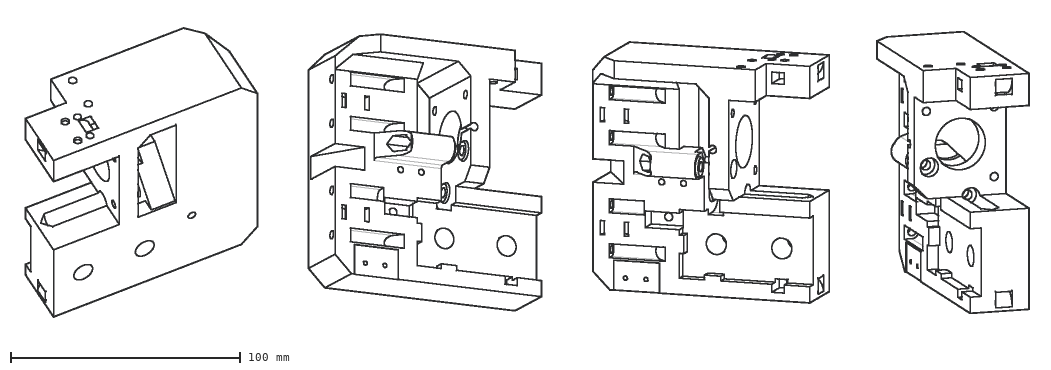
import cadquery as cq
import math

WIDTH = 42.0
LENGTH = 99.5
HEIGHT = 105.0

BODY_X = 15.0
BODY_TOP = 45.0
BACK_CHAMFER = 7.9
CORNER_CUT = 14.8

ROOF_THICKNESS = 8.0
ARM_BOTTOM = 90.7
ARM_NOTCH_LENGTH = 20.0
PLATE_FRONT = 32.1
PLATE_BACK = 41.3
SMALL_CHAMFER = 6.0
WINDOW_BACK = 59.8
GAP_BACK = 48.3
ROOF_BOTTOM = HEIGHT - ROOF_THICKNESS

MOTOR_Z = 68.5
MOTOR_BORE = 22.9
MOTOR_HOLE_PITCH = 31.1
COUPLING_BORE = 20.6
COUPLING_DEPTH = 3.2
SCREW_DIA = 3.6
MOTOR_X = WIDTH / 2

IDLER_HIGH = (6.8, 59.0)
IDLER_LOW = (25.8, 44.5)
IDLER_DIA = 4.3
IDLER_HEAD_DIA = 8.2
IDLER_HEAD_DEPTH = 5.0
IDLER_DEPTH = 31.5
BOSS_TIP_RADIUS = 4.0
BOSS_BASE_RADIUS = 4.5
BOSS_HEIGHT = 1.0
IDLER_NUT_FLATS = 7.0
IDLER_NUT_START = 63.0
CHANNEL_TIP_Y = 1.7
PULLEY_RADIUS = 9.2

RECESS_DEPTH = 4.9
RECESS_BOTTOM = 7.2
RECESS_TOP = 37.7
BACK_TAB = (57.8, WINDOW_BACK, 18.3, 26.4)
BOTTOM_TAB = (40.8, GAP_BACK, RECESS_BOTTOM, 9.3)
SIDE_HOLE_DIA = 9.1
SIDE_HOLE_Z = 22.4
SIDE_HOLE_YS = (14.5, 44.5)

NUT_POCKET = (59.7, 75.5, 28.8, 36.1)
NUT_POCKET_DEPTH = 8.4
NUT_POCKET_HOLE = (67.5, 32.4)

ROD_DIA = 6.2
ROD_DEPTH = 6.5
ROD_FRONT = 66.3
ROD_FRONT_SHORT = 76.0
ROD_BACK = 92.0
TIE_CENTER_ZS = (27.4, 77.6)
ROD_OFFSET = 10.0

TUBE_TOP = max(TIE_CENTER_ZS) - ROD_OFFSET - ROD_DIA / 2
TUBE_RADIUS = TUBE_TOP - IDLER_HIGH[1]
TUBE_BACK = 68.7
TUBE_RAMP_END = 80.7
TUBE_FILLET = 1.3
BLOCK_SLOPE_X = 21.4

TIE_CENTER_Y = 89.7
TIE_HEIGHT = 6.2
TIE_INNER_RADIUS = 4.5
TIE_OUTER_RADIUS = 6.5

NOTCH_FRONT = 85.3
NOTCH_BOTTOM = 47.4
NOTCH_TOP = 57.6
NOTCH_ANGLE = 60.0

SEAT = (69.0, 90.0, 0.0, 13.3)
SEAT_DEPTH = 0.4
SEAT_HOLE_DIA = 1.8
SEAT_HOLE_Z = 5.7
SEAT_HOLE_YS = (75.3, 84.7)
SEAT_HOLE_DEPTH = 8.4

BLOCK_HOLE_DIA = 2.6
BLOCK_HOLE_Z = 49.5
BLOCK_HOLE_YS = (58.0, 67.9)
BLOCK_HOLE_DEPTH = 8.4

STRAP_X = (26.7, 34.2)
STRAP_TOP_START_Y = 20.0
STRAP_TOP_END_Y = 25.7
STRAP_TOP_CENTER_Y = 19.4
STRAP_TOP_RADIUS = 5.9
STRAP_FRONT_Z = (1.7, 8.6)
STRAP_FRONT_RADIUS = 8.6
STRAP_FRONT_CENTER_Z = 0.8
TRAP_Y = 14.6
TRAP_FLATS = 5.8
TRAP_HEIGHT = 5.0
TRAP_BOTTOM = 3.7
TRAP_TIP_X = 27.3
ROOF_THROUGH_HOLES = ((4.9, 28.1), (20.0, 28.1))
SENSOR_XS = (24.5, 36.5)
SENSOR_FLAT_Y = 20.6
SENSOR_FLAT_DIA = 3.3
SENSOR_FLAT_DEPTH = 8.4
SENSOR_CONE_Y = TRAP_Y
SENSOR_CONE_DEPTH = 1.6
SET_SCREW_Y = 39.7


def box(x0, x1, y0, y1, z0, z1):
    return cq.Workplane("XY").box(x1 - x0, y1 - y0, z1 - z0, centered=False).translate((x0, y0, z0))


def rod_x(y, z, dia, x0, x1):
    return cq.Workplane("YZ", origin=(x0, y, z)).circle(dia / 2).extrude(x1 - x0)


def rod_y(x, z, dia, y0, y1):
    return cq.Workplane("XZ", origin=(x, y0, z)).circle(dia / 2).extrude(y0 - y1)


def rod_z(x, y, dia, z0, z1):
    return cq.Workplane("XY", origin=(x, y, z0)).circle(dia / 2).extrude(z1 - z0)


def prism_x(points, x0, x1):
    """Extrude a (y, z) outline along X."""
    return cq.Workplane("YZ", origin=(x0, 0, 0)).polyline(points).close().extrude(x1 - x0)


def prism_y(points, y0, y1):
    """Extrude an (x, z) outline along Y."""
    return cq.Workplane("XZ", origin=(0, y0, 0)).polyline(points).close().extrude(y0 - y1)


def prism_z(points, z0, z1):
    """Extrude an (x, y) outline along Z."""
    return cq.Workplane("XY", origin=(0, 0, z0)).polyline(points).close().extrude(z1 - z0)


def mirror_height(solid):
    """Copy a shape upside down about mid height."""
    return solid.mirror("XY", (0, 0, HEIGHT / 2))


def make_frame():
    """Lower block, back wall, roof and motor plate."""
    lower = box(BODY_X, WIDTH, 0, LENGTH, 0, BODY_TOP)
    wall = box(BODY_X, WIDTH, WINDOW_BACK, LENGTH, 0, HEIGHT)
    roof = box(0, WIDTH, PLATE_FRONT, LENGTH, ROOF_BOTTOM, HEIGHT)
    arm = box(0, WIDTH, 0, PLATE_BACK, ARM_BOTTOM, HEIGHT)
    arm_notch = box(0, BODY_X, 0, ARM_NOTCH_LENGTH, ARM_BOTTOM, HEIGHT)
    plate = prism_y(
        [
            (SMALL_CHAMFER, BODY_TOP),
            (WIDTH, BODY_TOP),
            (WIDTH, HEIGHT),
            (0, HEIGHT),
            (0, BODY_TOP + SMALL_CHAMFER),
        ],
        PLATE_FRONT,
        PLATE_BACK,
    )
    plate_brace = prism_x(
        [
            (PLATE_BACK, ROOF_BOTTOM),
            (PLATE_BACK + SMALL_CHAMFER, ROOF_BOTTOM),
            (PLATE_BACK, ROOF_BOTTOM - SMALL_CHAMFER),
        ],
        0,
        WIDTH,
    )
    roof_wedge = prism_y(
        [
            (BODY_X - SMALL_CHAMFER, ROOF_BOTTOM),
            (BODY_X, ROOF_BOTTOM),
            (BODY_X, ROOF_BOTTOM - SMALL_CHAMFER),
        ],
        WINDOW_BACK,
        LENGTH,
    )
    frame = lower.union(wall).union(roof).union(arm.cut(arm_notch)).union(plate)
    return frame.union(plate_brace).union(roof_wedge)


def make_sloped_block():
    """Block behind the gap, level on top and sloping down towards +X."""
    slope_run = TUBE_TOP - BODY_TOP
    return prism_y(
        [
            (BODY_X, 0),
            (BODY_X, TUBE_TOP),
            (BLOCK_SLOPE_X, TUBE_TOP),
            (BLOCK_SLOPE_X + slope_run, BODY_TOP),
            (BLOCK_SLOPE_X + slope_run, 0),
        ],
        GAP_BACK,
        LENGTH - BACK_CHAMFER,
    )


def make_tube():
    """Tube for the high idler screw, ramped into the side of the block."""
    x, z = IDLER_HIGH
    tube = rod_y(x, z, 2 * TUBE_RADIUS, GAP_BACK, TUBE_RAMP_END)
    bottom = z - TUBE_RADIUS
    link = box(x, BODY_X, GAP_BACK, TUBE_RAMP_END, bottom, TUBE_TOP)
    fillet_x = BODY_X - TUBE_FILLET
    fillet_z = bottom - TUBE_FILLET
    fillet = box(fillet_x, BODY_X, GAP_BACK, TUBE_RAMP_END, fillet_z, bottom)
    fillet = fillet.cut(rod_y(fillet_x, fillet_z, 2 * TUBE_FILLET, GAP_BACK, TUBE_RAMP_END))
    ramp_limit = prism_z(
        [
            (0, GAP_BACK),
            (BODY_X, GAP_BACK),
            (BODY_X, TUBE_RAMP_END),
            (BODY_X - TUBE_RAMP_END + TUBE_BACK, TUBE_BACK),
            (0, TUBE_BACK),
        ],
        0,
        HEIGHT,
    )
    return tube.union(link).union(fillet).intersect(ramp_limit)


def make_boss(center, y, direction):
    """Tapered ring facing into the pulley gap."""
    x, z = center
    boss = cq.Solid.makeCone(
        BOSS_BASE_RADIUS, BOSS_TIP_RADIUS, BOSS_HEIGHT, cq.Vector(x, y, z), cq.Vector(0, direction, 0)
    )
    return cq.Workplane(boss)


def make_outer_chamfers():
    """Material removed from the back edges and the roof corner."""
    top_edge = prism_x(
        [(LENGTH - BACK_CHAMFER, HEIGHT), (LENGTH, HEIGHT), (LENGTH, HEIGHT - BACK_CHAMFER)], 0, WIDTH
    )
    bottom_edge = prism_x([(LENGTH - BACK_CHAMFER, 0), (LENGTH, 0), (LENGTH, BACK_CHAMFER)], 0, WIDTH)
    corner = prism_z([(0, LENGTH - CORNER_CUT), (0, LENGTH), (CORNER_CUT, LENGTH)], 0, HEIGHT)
    return [top_edge, bottom_edge, corner]


def make_motor_cuts():
    cuts = [
        rod_y(MOTOR_X, MOTOR_Z, MOTOR_BORE, PLATE_FRONT, PLATE_BACK),
        rod_y(MOTOR_X, MOTOR_Z, COUPLING_BORE, PLATE_BACK, GAP_BACK + COUPLING_DEPTH),
        rod_x(SET_SCREW_Y, MOTOR_Z, SCREW_DIA, 0, MOTOR_X),
    ]
    half = MOTOR_HOLE_PITCH / 2
    for dx, dz in ((-half, half), (half, half), (half, -half)):
        cuts.append(rod_y(MOTOR_X + dx, MOTOR_Z + dz, SCREW_DIA, PLATE_FRONT, PLATE_BACK))
    return cuts


def make_pulley_gap():
    """Round-bottomed clearance for the low pulley, open towards -X."""
    x, z = IDLER_LOW
    trough = rod_y(x, z, 2 * PULLEY_RADIUS, PLATE_BACK, GAP_BACK)
    opening = box(BODY_X, x, PLATE_BACK, GAP_BACK, z - PULLEY_RADIUS, BODY_TOP)
    return trough.union(opening).intersect(box(0, WIDTH, 0, LENGTH, 0, BODY_TOP))


def make_idler_cuts():
    cuts = []
    for x, z in (IDLER_HIGH, IDLER_LOW):
        cuts.append(rod_y(x, z, IDLER_DIA, PLATE_FRONT, PLATE_FRONT + IDLER_DEPTH))
        cuts.append(rod_y(x, z, IDLER_HEAD_DIA, PLATE_FRONT, PLATE_FRONT + IDLER_HEAD_DEPTH))

    x, z = IDLER_HIGH
    corner_dia = IDLER_NUT_FLATS / math.cos(math.pi / 6)
    nut_seat = cq.Workplane("XZ", origin=(x, IDLER_NUT_START, z)).polygon(6, corner_dia)
    cuts.append(nut_seat.extrude(IDLER_NUT_START - TUBE_RAMP_END))

    x, z = IDLER_LOW
    head_radius = IDLER_HEAD_DIA / 2
    cuts.append(rod_y(x, z, IDLER_HEAD_DIA, CHANNEL_TIP_Y + head_radius, PLATE_FRONT))
    cone = cq.Solid.makeCone(
        0, head_radius, head_radius, cq.Vector(x, CHANNEL_TIP_Y, z), cq.Vector(0, 1, 0)
    )
    cuts.append(cq.Workplane(cone))
    return cuts


def make_recess():
    """Stepped recess in the side of the lower block."""
    floor_x = BODY_X + RECESS_DEPTH
    recess = box(BODY_X, floor_x, 0, WINDOW_BACK, RECESS_BOTTOM, RECESS_TOP)
    back_tab = box(BODY_X, floor_x, *BACK_TAB)
    bottom_tab = box(BODY_X, floor_x, *BOTTOM_TAB)
    return recess.cut(back_tab).cut(bottom_tab)


def make_rod_groove(z, front, ramped):
    """Round-bottomed groove along Y with a screw hole out of the back."""
    radius = ROD_DIA / 2
    bottom_x = BODY_X + ROD_DEPTH
    axis_x = bottom_x - radius
    groove = rod_y(axis_x, z, ROD_DIA, front, ROD_BACK)
    groove = groove.union(box(BODY_X, axis_x, front, ROD_BACK, z - radius, z + radius))
    if ramped:
        ramp = prism_z([(BODY_X, front), (bottom_x, front), (bottom_x, front + ROD_DEPTH)], 0, HEIGHT)
        groove = groove.cut(ramp)
    return groove.union(rod_y(axis_x, z, SCREW_DIA, ROD_BACK, LENGTH))


def make_rod_cuts():
    cuts = []
    for tie_z in TIE_CENTER_ZS:
        channel = cq.Workplane("XY", origin=(BODY_X, TIE_CENTER_Y, tie_z - TIE_HEIGHT / 2))
        channel = channel.circle(TIE_OUTER_RADIUS).circle(TIE_INNER_RADIUS).extrude(TIE_HEIGHT)
        cuts.append(channel)
    low_tie, high_tie = TIE_CENTER_ZS
    for z in (low_tie - ROD_OFFSET, high_tie - ROD_OFFSET, high_tie + ROD_OFFSET):
        cuts.append(make_rod_groove(z, ROD_FRONT, True))
    cuts.append(make_rod_groove(low_tie + ROD_OFFSET, ROD_FRONT_SHORT, False))
    return cuts


def make_side_cuts():
    """Holes and pockets that open on the -X face of the block."""
    cuts = [
        box(BODY_X, BODY_X + NUT_POCKET_DEPTH, *NUT_POCKET),
        rod_x(*NUT_POCKET_HOLE, SCREW_DIA, BODY_X, WIDTH),
        box(BODY_X, BODY_X + SEAT_DEPTH, *SEAT),
    ]
    for y in SIDE_HOLE_YS:
        cuts.append(rod_x(y, SIDE_HOLE_Z, SIDE_HOLE_DIA, BODY_X, WIDTH))
    for y in SEAT_HOLE_YS:
        cuts.append(rod_x(y, SEAT_HOLE_Z, SEAT_HOLE_DIA, BODY_X, BODY_X + SEAT_HOLE_DEPTH))
    for y in BLOCK_HOLE_YS:
        cuts.append(rod_x(y, BLOCK_HOLE_Z, BLOCK_HOLE_DIA, BODY_X, BODY_X + BLOCK_HOLE_DEPTH))
    notch_depth = (LENGTH - NOTCH_FRONT) * math.tan(math.radians(NOTCH_ANGLE))
    notch = prism_z(
        [(BODY_X, NOTCH_FRONT), (BODY_X + notch_depth, LENGTH), (BODY_X, LENGTH)], NOTCH_BOTTOM, NOTCH_TOP
    )
    cuts.append(notch)
    return cuts


def make_strap_ring(y, z, inner_radius, outer_radius):
    x0, x1 = STRAP_X
    outer = rod_x(y, z, 2 * outer_radius, x0, x1)
    return outer.cut(rod_x(y, z, 2 * inner_radius, x0, x1))


def make_strap_cuts():
    """Curved strap channels, each a quarter of a ring."""
    x0, x1 = STRAP_X
    y = STRAP_TOP_CENTER_Y
    z = HEIGHT - STRAP_TOP_RADIUS
    outer_radius = math.hypot(STRAP_TOP_END_Y - y, STRAP_TOP_RADIUS)
    top = make_strap_ring(y, z, STRAP_TOP_RADIUS, outer_radius)
    top = top.intersect(box(x0, x1, STRAP_TOP_START_Y, y + outer_radius, z, HEIGHT))

    y = STRAP_FRONT_RADIUS
    z = STRAP_FRONT_CENTER_Z
    slot_low, slot_high = STRAP_FRONT_Z
    outer_radius = math.hypot(y, slot_high - z)
    front = make_strap_ring(y, z, STRAP_FRONT_RADIUS, outer_radius)
    front = front.intersect(box(x0, x1, 0, y, slot_low, z + outer_radius))
    return [top, front, mirror_height(front)]


def make_nut_traps():
    """Side slots whose inner ends fit the corner of a hexagonal nut."""
    half = TRAP_FLATS / 2
    shoulder_x = TRAP_TIP_X - half * math.tan(math.pi / 6)
    trap = prism_z(
        [
            (BODY_X, TRAP_Y - half),
            (shoulder_x, TRAP_Y - half),
            (TRAP_TIP_X, TRAP_Y),
            (shoulder_x, TRAP_Y + half),
            (BODY_X, TRAP_Y + half),
        ],
        TRAP_BOTTOM,
        TRAP_BOTTOM + TRAP_HEIGHT,
    )
    return [trap, mirror_height(trap)]


def make_roof_holes():
    cuts = []
    for x, y in ROOF_THROUGH_HOLES:
        cuts.append(rod_z(x, y, SCREW_DIA, ARM_BOTTOM, HEIGHT))
    radius = SCREW_DIA / 2
    cone_top = HEIGHT - SENSOR_CONE_DEPTH
    for x in SENSOR_XS:
        cuts.append(rod_z(x, SENSOR_FLAT_Y, SENSOR_FLAT_DIA, HEIGHT - SENSOR_FLAT_DEPTH, HEIGHT))
        cuts.append(rod_z(x, SENSOR_CONE_Y, SCREW_DIA, cone_top, HEIGHT))
        cone = cq.Solid.makeCone(
            radius, 0, radius, cq.Vector(x, SENSOR_CONE_Y, cone_top), cq.Vector(0, 0, -1)
        )
        cuts.append(cq.Workplane(cone))
    return cuts


body = make_frame().union(make_sloped_block()).union(make_tube())
cuts = make_outer_chamfers() + [make_pulley_gap(), make_recess()] + make_side_cuts()
for cut in cuts:
    body = body.cut(cut)

for idler in (IDLER_HIGH, IDLER_LOW):
    body = body.union(make_boss(idler, PLATE_BACK, 1))
    body = body.union(make_boss(idler, GAP_BACK, -1))

holes = make_motor_cuts() + make_idler_cuts() + make_rod_cuts()
holes += make_strap_cuts() + make_nut_traps() + make_roof_holes()
for hole in holes:
    body = body.cut(hole)

result = body